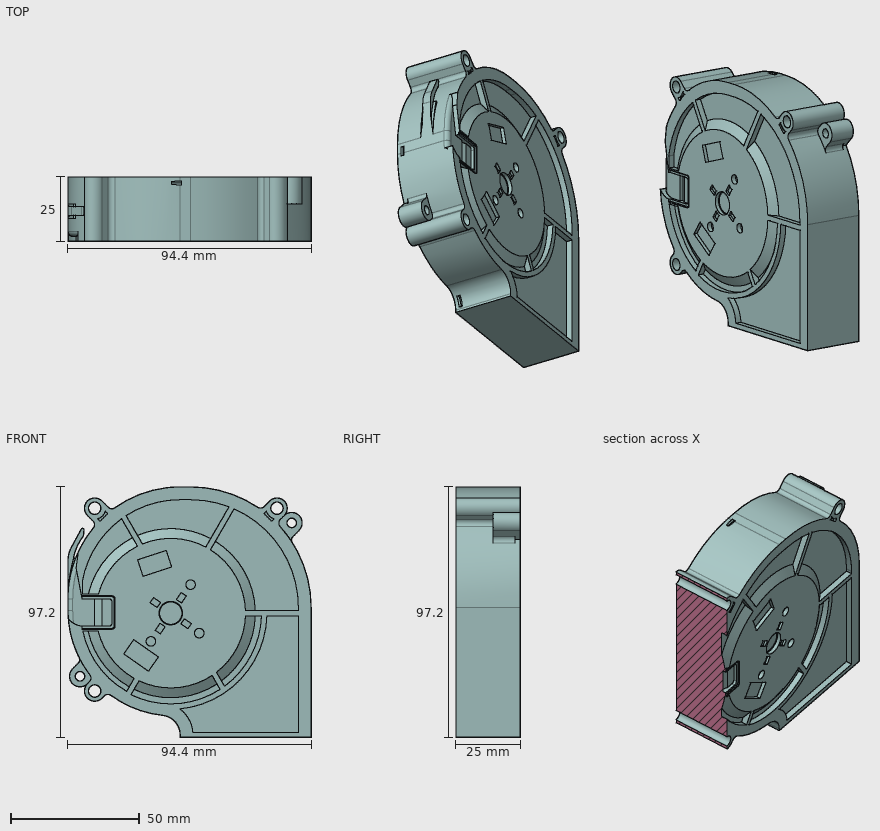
import cadquery as cq
import math


depth = 25.0
left_x = -39.9
right_x = 54.5
top_z = 49.0
bottom_z = -48.2
outlet_left_x = 3.6

upper_right_radius = 46.8
upper_left_radius = 43.5
lower_left_radius = 41.0
upper_right_center = (right_x - upper_right_radius, top_z - upper_right_radius)
upper_left_center = (left_x + upper_left_radius, top_z - upper_left_radius)
lower_left_center_z = 1.1
lower_left_center = (left_x + lower_left_radius, lower_left_center_z)

outlet_lip_height = 1.0
neck_center_z = bottom_z + outlet_lip_height
neck_run = outlet_left_x - lower_left_center[0]
neck_drop = lower_left_center[1] - neck_center_z
neck_radius = (neck_run**2 + neck_drop**2 - lower_left_radius**2) / (2 * (lower_left_radius + neck_run))
neck_center = (outlet_left_x - neck_radius, neck_center_z)

ear_radius = 4.0
ear_hole_diameter = 4.7
ear_left_x = -29.5
ear_right_x = 41.2
ear_top_z = 40.7
ear_bottom_z = -30.2
ear_root_fillet = 2.0
ear_reach = 11.0

small_ear_radius = 4.1
small_ear_offset = 5.7
small_ear_hole_diameter = 3.6
small_ear_front_y = 14.5
small_ear_fillet_end_y = 23.0
small_ear_reach = 8.0

rim_width = 5.0
outlet_sill = 2.0
pocket_depth = 2.5
hub_radius = 29.0
hub_base_radius = 32.8
inlet_radius = 35.2
left_inlet_radius = 34.8
left_pocket_end_x = -16.0
left_pocket_corner_x = -34.0
left_arc_end_angle = 170
inlet_wall = 2.1
rib_width = 2.1
ribs = ((0, 0.0), (60, 0.0), (120, -2.85), (240, 1.4), (300, 2.85))
clip_rib_width = 14.3

boss_radius = 4.55
boss_chamfer = 0.2
boss_depth = 1.8
vent_circle_radius = 7.25
vent_length = 3.3
vent_width = 2.4
vent_first_angle = 55.5
vent_depth = 1.0
pin_hole_positions = ((7.7, 11.05), (11.05, -7.75), (-7.7, -10.95))
pin_hole_diameter = 3.7
pin_hole_depth = 2.0
window_size = (11.7, 6.75)
windows = (((-6.25, 19.3), 18.2), ((-11.5, -16.4), -35.0))
window_depth = 1.5

channel_depth = 1.9
channel_center_z = 0.25
channel_half_width = 5.3
channel_end_x = -22.8
channel_mouth_x = -34.4
channel_top_z = 23.5
channel_top_x = -35.9
channel_bend_x = -36.7
channel_bend_z = 17.5
lip_corner_middle = (-37.4, -4.1)
lip_bottom_z = -2.0
channel_corner_radius = 1.2
lip_radius = 1.88
shelf_width = 1.2
shelf_depth = 0.6
shelf_chamfer = 0.35
gutter_left_x = -29.5
gutter_right_x = -26.7
gutter_depth = 3.2

clip_front_y = 10.05
clip_width = 3.45
clip_bend_z = 20.3
pad_front_y = 8.8
pad_width = 5.65
pad_top_z = 21.3
flare_top_z = 15.0
flare_thickness = 2.0
pad_face_middle = (-39.25, 14.0)
pad_top_x = -37.7
clip_root_x = -36.5
finger_outer_bend = ((-39.54, 23.1), (-38.5, 25.7))
finger_tip = ((-34.7, 32.7), (-34.0, 32.9), (-33.6, 32.2))
finger_inner_start = (-33.8, 30.0)
finger_inner_middle = (-36.4, 25.6)

notch_start_y = 21.9
notch_deepest_y = 22.7
notch_end_y = 23.4
notch_depth = 0.4
notch_length = 3.9
left_notch_start_z = 0.1
top_notch_start_x = 0.2
neck_notch_start_z = -46.2
ear_pocket_inner_radius = 4.25
ear_pocket_outer_distance = 5.05
ear_pocket_half_width = 2.1
ear_pocket_depth = 1.0

big = 300.0
diagonal = math.sqrt(0.5)


def at_depth(y):
    """Sketch plane with local axes X and Z at depth y."""
    return cq.Workplane("XZ", origin=(0, y, 0))


def polar(center, radius, angle):
    """Point at a radius and an angle in degrees from a centre."""
    a = math.radians(angle)
    return (center[0] + radius * math.cos(a), center[1] + radius * math.sin(a))


def disc(center, radius, y_start, y_end):
    return at_depth(y_start).center(*center).circle(radius).extrude(y_start - y_end)


def block(x_start, x_end, z_start, z_end, y_start, y_end):
    size = (x_end - x_start, y_end - y_start, z_end - z_start)
    return cq.Workplane("XY").box(*size, centered=False).translate((x_start, y_start, z_start))


def cone(center, front_radius, back_radius, y_start, y_end):
    base = cq.Vector(center[0], y_start, center[1])
    solid = cq.Solid.makeCone(front_radius, back_radius, y_end - y_start, base, cq.Vector(0, 1, 0))
    return cq.Workplane("XY").newObject([solid])


def turned_block(center, length, width, angle, y_start, y_end):
    sketch = at_depth(y_start).center(*center).transformed(rotate=(0, 0, angle))
    return sketch.rect(length, width).extrude(y_start - y_end)


def make_scroll(y_start):
    toward_neck = math.degrees(math.atan2(
        neck_center[1] - lower_left_center[1], neck_center[0] - lower_left_center[0]))
    neck_join = polar(lower_left_center, lower_left_radius, toward_neck)
    neck_middle = polar(neck_center, neck_radius, (toward_neck + 180) / 2)
    outline = (
        at_depth(y_start)
        .moveTo(right_x, bottom_z)
        .lineTo(right_x, upper_right_center[1])
        .threePointArc(polar(upper_right_center, upper_right_radius, 45), (upper_right_center[0], top_z))
        .lineTo(upper_left_center[0], top_z)
        .threePointArc(polar(upper_left_center, upper_left_radius, 135), (left_x, upper_left_center[1]))
        .lineTo(left_x, lower_left_center[1])
        .threePointArc(polar(lower_left_center, lower_left_radius, 225), neck_join)
        .threePointArc(neck_middle, (outlet_left_x, neck_center_z))
        .lineTo(outlet_left_x, bottom_z)
        .close()
    )
    return outline.extrude(y_start - depth)


def make_ear(center, inward, radius, reach, y_start, y_end):
    """Rounded lug whose straight flanks run at 45 degrees into the scroll."""
    angle = math.degrees(math.atan2(inward[1], inward[0]))
    middle = (center[0] + inward[0] * diagonal * reach / 2, center[1] + inward[1] * diagonal * reach / 2)
    flank = turned_block(middle, reach, 2 * radius, angle, y_start, y_end)
    return disc(center, radius, y_start, y_end).union(flank)


main_ears = (
    ((ear_left_x, ear_top_z), (1, -1)),
    ((ear_right_x, ear_top_z), (-1, -1)),
    ((ear_left_x, ear_bottom_z), (1, 1)),
)
small_ears = (
    ((ear_right_x + small_ear_offset, ear_top_z - small_ear_offset), (-1, -1)),
    ((ear_left_x - small_ear_offset, ear_bottom_z + small_ear_offset), (1, 1)),
)


def is_ear_root(edge, ears, radius, length):
    """True for edges of the given length along Y where an ear flank meets the scroll."""
    mid = edge.Center()
    box = edge.BoundingBox()
    if abs(box.ylen - length) > 0.01 or max(box.xlen, box.zlen) > 0.01:
        return False
    for (x, z), inward in ears:
        along = ((mid.x - x) * inward[0] + (mid.z - z) * inward[1]) * diagonal
        across = abs((mid.x - x) * inward[1] - (mid.z - z) * inward[0]) * diagonal
        if abs(across - radius) < 0.01 and along > 1:
            return True
    return False


def blend_ear_roots(body, ears, radius, length):
    roots = [edge for edge in body.edges().vals() if is_ear_root(edge, ears, radius, length)]
    return body.newObject(roots).fillet(ear_root_fillet)


def add_ears(body):
    for center, inward in main_ears:
        body = body.union(make_ear(center, inward, ear_radius, ear_reach, 0, depth))
    body = blend_ear_roots(body, main_ears, ear_radius, depth)

    front_y, end_y = small_ear_front_y, small_ear_fillet_end_y
    for center, inward in small_ears:
        body = body.union(make_ear(center, inward, small_ear_radius, small_ear_reach, front_y, end_y))
    body = blend_ear_roots(body, small_ears, small_ear_radius, end_y - front_y)
    for center, inward in small_ears:
        body = body.union(make_ear(center, inward, small_ear_radius, small_ear_reach, end_y, depth))

    for center, _ in main_ears:
        body = body.cut(disc(center, ear_hole_diameter / 2, 0, depth))
    for center, _ in small_ears:
        body = body.cut(disc(center, small_ear_hole_diameter / 2, 0, depth))
    return body


def make_inlet_pocket():
    """Ring-shaped recess round the raised hub, split by radial ribs."""
    inner_right = upper_right_radius - rim_width
    inner_left = upper_left_radius - rim_width
    pocket = (
        at_depth(0)
        .moveTo(right_x - rim_width, 0)
        .lineTo(right_x - rim_width, upper_right_center[1])
        .threePointArc(polar(upper_right_center, inner_right, 45),
                       (upper_right_center[0], top_z - rim_width))
        .lineTo(upper_left_center[0], top_z - rim_width)
        .threePointArc(polar(upper_left_center, inner_left, 135),
                       polar(upper_left_center, inner_left, left_arc_end_angle))
        .lineTo(left_pocket_corner_x, 0)
        .close()
        .extrude(-pocket_depth)
    )
    pocket = pocket.union(disc((0, 0), left_inlet_radius, 0, pocket_depth))
    right_of_left_rib = block(left_pocket_end_x, big, -big, 0, 0, pocket_depth)
    pocket = pocket.union(disc((0, 0), inlet_radius, 0, pocket_depth).intersect(right_of_left_rib))
    pocket = pocket.cut(cone((0, 0), hub_radius, hub_base_radius, 0, pocket_depth))
    for angle, shift in ribs:
        middle = polar(polar((0, 0), shift, angle + 90), big / 4, angle)
        pocket = pocket.cut(turned_block(middle, big / 2, rib_width, angle, 0, pocket_depth))
    half = clip_rib_width / 2
    clip_rib = block(-big, 0, channel_center_z - half, channel_center_z + half, 0, pocket_depth)
    return pocket.cut(clip_rib)


def make_outlet_pocket():
    pocket = block(0, right_x - rim_width, bottom_z + outlet_sill, -rib_width / 2, 0, pocket_depth)
    pocket = pocket.cut(disc((0, 0), inlet_radius + inlet_wall, 0, pocket_depth))
    return pocket.cut(disc(neck_center, neck_radius + rim_width, 0, pocket_depth))


def cut_hub_details(body):
    body = body.cut(disc((0, 0), boss_radius, 0, boss_depth - boss_chamfer))
    body = body.cut(cone((0, 0), boss_radius, boss_radius - boss_chamfer,
                         boss_depth - boss_chamfer, boss_depth))
    for i in range(4):
        angle = vent_first_angle + 90 * i
        center = polar((0, 0), vent_circle_radius, angle)
        body = body.cut(turned_block(center, vent_length, vent_width, angle, 0, vent_depth))
    for center in pin_hole_positions:
        body = body.cut(disc(center, pin_hole_diameter / 2, 0, pin_hole_depth))
    for center, angle in windows:
        body = body.cut(turned_block(center, *window_size, angle, 0, window_depth))
    return body


def cut_wire_channel(body):
    """Wire exit: a flat channel opening through the left wall with a rounded lip."""
    half = channel_half_width
    outline = (
        at_depth(0)
        .moveTo(channel_top_x, channel_top_z)
        .lineTo(channel_bend_x, channel_bend_z)
        .lineTo(channel_mouth_x, channel_center_z + half)
        .lineTo(channel_end_x, channel_center_z + half)
        .lineTo(channel_end_x, channel_center_z - half)
        .lineTo(channel_mouth_x, channel_center_z - half)
        .threePointArc(lip_corner_middle, (left_x, lip_bottom_z))
        .lineTo(left_x - rim_width, lip_bottom_z)
        .lineTo(left_x - rim_width, channel_top_z)
        .close()
    )
    channel = outline.extrude(-2 * channel_depth)
    channel = channel.edges(">X and |Y").fillet(channel_corner_radius)
    rounded_floor = make_scroll(channel_depth).faces("<Y").edges().fillet(lip_radius)
    body = body.cut(channel.cut(rounded_floor))

    gutter = (
        cq.Workplane("XY", origin=(0, 0, channel_center_z - half))
        .moveTo(gutter_left_x, 0)
        .lineTo(gutter_left_x, gutter_depth)
        .lineTo(gutter_right_x, channel_depth)
        .lineTo(gutter_right_x, 0)
        .close()
        .extrude(2 * half)
    )
    body = body.cut(gutter)

    outer = half + shelf_width
    shelf = block(channel_mouth_x, channel_end_x + shelf_width,
                  channel_center_z - outer, channel_center_z + outer, 0, shelf_depth)
    shelf = shelf.edges(">X and |Y").fillet(channel_corner_radius)
    shelf = shelf.faces(">Y").edges("not <X").chamfer(shelf_chamfer)
    return body.cut(shelf)


def add_wire_clip(body):
    """Springy finger rising from the left wall, standing clear of the scroll."""
    root_z = upper_left_center[1]
    finger = (
        at_depth(clip_front_y)
        .moveTo(left_x, root_z)
        .lineTo(left_x, clip_bend_z)
        .threePointArc(*finger_outer_bend)
        .lineTo(*finger_tip[0])
        .threePointArc(*finger_tip[1:])
        .lineTo(*finger_inner_start)
        .threePointArc(finger_inner_middle, (pad_top_x, pad_top_z))
        .lineTo(clip_root_x, root_z)
        .close()
        .extrude(-clip_width)
    )
    pad = (
        at_depth(pad_front_y)
        .moveTo(left_x, root_z)
        .threePointArc(pad_face_middle, (pad_top_x, pad_top_z))
        .lineTo(clip_root_x, pad_top_z)
        .lineTo(clip_root_x, root_z)
        .close()
        .extrude(-pad_width)
    )
    flare = (
        cq.Workplane("YZ", origin=(left_x, 0, 0))
        .moveTo(pad_front_y, root_z)
        .lineTo(pad_front_y + pad_width, root_z)
        .lineTo(clip_front_y + clip_width, flare_top_z)
        .lineTo(clip_front_y, flare_top_z)
        .close()
        .extrude(flare_thickness)
    )
    return body.union(pad).union(finger).union(flare)


def cut_snap_notches(body):
    profile = [(notch_start_y, 0), (notch_deepest_y, notch_depth), (notch_end_y, 0)]
    left = cq.Workplane("XY", origin=(0, 0, left_notch_start_z))
    left = left.polyline([(left_x + d, y) for y, d in profile]).close().extrude(notch_length)
    top = cq.Workplane("YZ", origin=(top_notch_start_x, 0, 0))
    top = top.polyline([(y, top_z - d) for y, d in profile]).close().extrude(notch_length)
    deep_radius = neck_radius + notch_depth
    neck = cone(neck_center, neck_radius, deep_radius, notch_start_y, notch_deepest_y)
    neck = neck.union(cone(neck_center, deep_radius, neck_radius, notch_deepest_y, notch_end_y))
    notch_span = block(0, right_x, neck_notch_start_z, neck_notch_start_z + notch_length, 0, depth)
    neck = neck.intersect(notch_span)
    return body.cut(left).cut(top).cut(neck)


def cut_ear_pockets(body):
    """Small pockets between each upper ear hole and the scroll."""
    for center, inward in main_ears[:2]:
        angle = math.degrees(math.atan2(inward[1], inward[0]))
        reach = ear_pocket_outer_distance
        middle = polar(center, reach / 2, angle)
        pocket = turned_block(middle, reach, 2 * ear_pocket_half_width, angle, 0, ear_pocket_depth)
        body = body.cut(pocket.cut(disc(center, ear_pocket_inner_radius, 0, ear_pocket_depth)))
    return body


housing = add_ears(make_scroll(0))
housing = housing.cut(make_inlet_pocket()).cut(make_outlet_pocket())
housing = cut_hub_details(housing)
housing = cut_wire_channel(housing)
housing = add_wire_clip(housing)
housing = cut_snap_notches(housing)
result = cut_ear_pockets(housing)